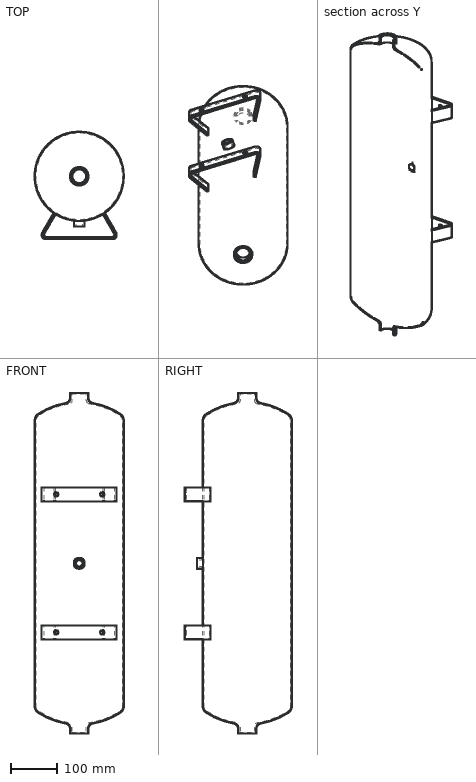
import cadquery as cq
import math

total_length = 740.0
shell_diameter = 194.0
shell_bore = 188.0
straight_half_length = 309.0
crown_radius = 163.0
knuckle_radius = 18.0

neck_diameter = 40.0
neck_bore = 30.0
neck_mouth_chamfer = 2.0
neck_fillet = 10.0
neck_inner_fillet = 9.0

port_diameter = 24.0
port_bore = 15.0
port_face_y = -109.5

foot_base_y = -136.0
foot_spacing = 300.0
strap_width = 30.0
strap_thickness = 4.5
base_half_width = 72.5
bend_radius = 9.0
leg_angle = math.radians(60)
bolt_hole_diameter = 9.0
bolt_spacing = 100.0

shell_radius = shell_diameter / 2
wall = (shell_diameter - shell_bore) / 2


def polar(center_r, center_z, radius, angle):
    """Point in the radius-height plane at an angle on a circle."""
    return center_r + radius * math.cos(angle), center_z + radius * math.sin(angle)


def domed_body(offset, neck_radius, fillet):
    """Solid with two torispherical ends, shrunk inward by offset, and a filleted neck on each."""
    outer = shell_radius - offset
    knuckle = knuckle_radius - offset
    crown = crown_radius - offset
    knuckle_center_r = outer - knuckle
    center_drop = math.sqrt((crown - knuckle) ** 2 - knuckle_center_r**2)
    crown_center_z = straight_half_length - center_drop
    knuckle_end = math.atan2(center_drop, knuckle_center_r)
    knuckle_circle = (knuckle_center_r, straight_half_length, knuckle)
    crown_circle = (0, crown_center_z, crown)

    profile = (
        cq.Workplane("XZ")
        .lineTo(outer, 0)
        .lineTo(outer, straight_half_length)
        .threePointArc(polar(*knuckle_circle, knuckle_end / 2), polar(*knuckle_circle, knuckle_end))
    )

    fillet_center_r = neck_radius + fillet
    crown_end = math.acos(fillet_center_r / (crown + fillet))
    fillet_center_z = crown_center_z + (crown + fillet) * math.sin(crown_end)
    fillet_circle = (fillet_center_r, fillet_center_z, fillet)
    fillet_mid = math.pi + crown_end / 2

    crown_mid = (knuckle_end + crown_end) / 2
    profile = (
        profile.threePointArc(polar(*crown_circle, crown_mid), polar(*crown_circle, crown_end))
        .threePointArc(polar(*fillet_circle, fillet_mid), (neck_radius, fillet_center_z))
        .lineTo(neck_radius, total_length / 2)
        .lineTo(0, total_length / 2)
    )

    half = profile.close().revolve(360, (0, 0, 0), (0, 1, 0))
    return half.union(half.rotate((0, 0, 0), (1, 0, 0), 180))


def port_cylinder(diameter):
    """Cylinder along Y from the port face to the vessel axis."""
    return (
        cq.Workplane("XZ", origin=(0, port_face_y, 0))
        .circle(diameter / 2)
        .extrude(port_face_y)
    )


def strap_outline(inset):
    """Closed foot section, inset from the outer strap face, with legs running into the vessel."""
    radius = bend_radius - inset
    bend_center_y = foot_base_y + bend_radius
    base_y = bend_center_y - radius
    leg_normal = math.pi / 2 - leg_angle
    bend_mid = (leg_normal - math.pi / 2) / 2
    leg_x = base_half_width + radius * math.cos(leg_normal)
    leg_y = bend_center_y + radius * math.sin(leg_normal)
    mid_x = base_half_width + radius * math.cos(bend_mid)
    mid_y = bend_center_y + radius * math.sin(bend_mid)
    end_x = leg_x + leg_y / math.tan(leg_angle)
    return (
        cq.Workplane("XY", origin=(0, 0, -strap_width / 2))
        .moveTo(-end_x, 0)
        .lineTo(-leg_x, leg_y)
        .threePointArc((-mid_x, mid_y), (-base_half_width, base_y))
        .lineTo(base_half_width, base_y)
        .threePointArc((mid_x, mid_y), (leg_x, leg_y))
        .lineTo(end_x, 0)
        .close()
        .extrude(strap_width)
    )


def strap_foot():
    """Strap centred on Z = 0: flat base with two bolt holes, and two legs that end on the shell."""
    bolt_holes = (
        cq.Workplane("XZ", origin=(0, foot_base_y + strap_thickness, 0))
        .pushPoints([(-bolt_spacing / 2, 0), (bolt_spacing / 2, 0)])
        .circle(bolt_hole_diameter / 2)
        .extrude(strap_thickness)
    )
    return strap_outline(0).cut(strap_outline(strap_thickness)).cut(bolt_holes)


vessel = domed_body(0, neck_diameter / 2, neck_fillet).union(port_cylinder(port_diameter))
for foot_z in (-foot_spacing / 2, foot_spacing / 2):
    vessel = vessel.union(strap_foot().translate((0, 0, foot_z)))

cavity = domed_body(wall, neck_bore / 2, neck_inner_fillet)
result = vessel.cut(cavity).cut(port_cylinder(port_bore))
for neck_end in (">Z", "<Z"):
    mouth = result.faces(neck_end).edges(cq.selectors.RadiusNthSelector(0))
    result = mouth.chamfer(neck_mouth_chamfer)